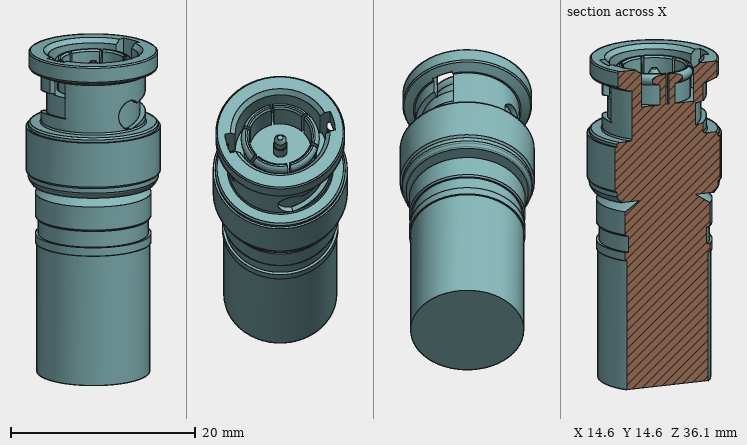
import cadquery as cq
import math

total_height = 36.1
cut_margin = 1.0

ring_bottom = 14.6
ring_top = 15.55
groove_top = 17.35
band_bottom = 17.55
band_top = 20.15
collar_bottom = 21.22
collar_edge = 21.37
collar_shoulder = 21.7
collar_lip_bottom = 21.92
collar_lip_top = 22.43
collar_body_bottom = 22.65
collar_body_top = 27.6
collar_top = 28.1
neck_top = 33.7
flange_underside = 34.18

tube_radius = 6.15
ring_radius = 6.3
groove_radius = 6.0
band_radius = 6.3
cone_top_radius = 5.1
collar_bottom_radius = 6.63
collar_edge_radius = 6.75
collar_shoulder_radius = 6.98
collar_lip_radius = 7.07
collar_radius = 7.3
neck_radius = 5.67
neck_base_radius = 5.78
flange_root_radius = 5.85
flange_radius = 7.0

band_chamfer = 0.15
collar_top_chamfer = 0.2
neck_base_height = 0.2
flange_top_chamfer = 0.15
flange_underside_chamfer = (0.12, 0.2)

bore_radius = 4.9
bore_chamfer = 0.5
bore_floor = total_height - 4.27

sleeve_top = total_height - 0.85
sleeve_inner_radius = 3.4
sleeve_outer_radius = 3.95
sleeve_bead_radius = 4.25
sleeve_mouth_chamfer = 0.2
sleeve_rim_width = 0.2
bead_height = 1.2
sleeve_slot_count = 6
sleeve_slot_width = 0.33

pin_base_radius = 0.75
pin_base_top = total_height - 2.8
pin_radius = 0.65
pin_tip_radius = 0.3
pin_tip_height = 0.55
pin_top = total_height - 1.25

track_floor_radius = 5.08
notch_width = 2.35
notch_radius = 6.0
latch_height = total_height - 6.2
latch_radius = 1.6
ramp_angle = 14.0
ramp_width = 2.37


def turned(points):
    """Revolve a closed (radius, height) outline about Z."""
    return cq.Workplane("XZ").polyline(points).close().revolve(360, (0, 0), (0, 1))


def disc(radius, bottom, top):
    return cq.Workplane("XY").workplane(offset=bottom).circle(radius).extrude(top - bottom)


def make_body():
    chamfer_width, chamfer_height = flange_underside_chamfer
    return turned([
        (0, 0),
        (tube_radius, 0),
        (tube_radius, ring_bottom),
        (ring_radius, ring_bottom),
        (ring_radius, ring_top),
        (groove_radius, ring_top),
        (groove_radius, groove_top),
        (band_radius - band_chamfer, groove_top),
        (band_radius, band_bottom),
        (band_radius, band_top),
        (cone_top_radius, collar_bottom),
        (collar_bottom_radius, collar_bottom),
        (collar_edge_radius, collar_edge),
        (collar_shoulder_radius, collar_shoulder),
        (collar_lip_radius, collar_lip_bottom),
        (collar_lip_radius, collar_lip_top),
        (collar_radius, collar_body_bottom),
        (collar_radius, collar_body_top),
        (collar_lip_radius, collar_body_top),
        (collar_lip_radius, collar_top - collar_top_chamfer),
        (collar_lip_radius - collar_top_chamfer, collar_top),
        (neck_base_radius, collar_top),
        (neck_radius, collar_top + neck_base_height),
        (neck_radius, neck_top),
        (flange_root_radius, neck_top),
        (flange_radius - chamfer_width, flange_underside),
        (flange_radius, flange_underside + chamfer_height),
        (flange_radius, total_height - flange_top_chamfer),
        (flange_radius - flange_top_chamfer, total_height),
        (0, total_height),
    ])


def make_bore():
    return turned([
        (0, bore_floor),
        (bore_radius, bore_floor),
        (bore_radius, total_height - bore_chamfer),
        (bore_radius + bore_chamfer, total_height),
        (0, total_height),
    ])


def make_sleeve():
    rim_inner = sleeve_inner_radius + sleeve_mouth_chamfer
    rim_outer = rim_inner + sleeve_rim_width
    sleeve = (
        cq.Workplane("XZ")
        .moveTo(sleeve_inner_radius, bore_floor)
        .lineTo(sleeve_outer_radius, bore_floor)
        .lineTo(sleeve_outer_radius, sleeve_top - bead_height)
        .threePointArc(
            (sleeve_bead_radius, sleeve_top - bead_height / 2),
            (rim_outer, sleeve_top),
        )
        .lineTo(rim_inner, sleeve_top)
        .lineTo(sleeve_inner_radius, sleeve_top - sleeve_mouth_chamfer)
        .close()
        .revolve(360, (0, 0), (0, 1))
    )
    slot_height = sleeve_top - bore_floor
    for index in range(sleeve_slot_count // 2):
        slot = (
            cq.Workplane("XY")
            .box(2 * bore_radius, sleeve_slot_width, slot_height, centered=(True, True, False))
            .translate((0, 0, bore_floor))
            .rotate((0, 0, 0), (0, 0, 1), index * 360 / sleeve_slot_count)
        )
        sleeve = sleeve.cut(slot)
    return sleeve


def make_pin():
    return turned([
        (0, bore_floor),
        (pin_base_radius, bore_floor),
        (pin_base_radius, pin_base_top),
        (pin_radius, pin_base_top),
        (pin_radius, pin_top - pin_tip_height),
        (pin_tip_radius, pin_top),
        (0, pin_top),
    ])


def make_bayonet_track():
    """Entry notch on -Y, inclined ramp and round latch hole on -X."""
    slope = math.tan(math.radians(ramp_angle))
    ramp_height = ramp_width / math.cos(math.radians(ramp_angle))
    ramp_low = latch_height - latch_radius / math.cos(math.radians(ramp_angle))
    outer_limit = -(neck_radius + cut_margin)
    ramp_outer_low = ramp_low - slope * outer_limit

    side_plane = cq.Workplane("YZ").workplane(offset=outer_limit)
    ramp = (
        side_plane
        .polyline([
            (0, ramp_low),
            (outer_limit, ramp_outer_low),
            (outer_limit, ramp_outer_low + ramp_height),
            (0, ramp_low + ramp_height),
        ])
        .close()
        .extrude(notch_width / 2 - outer_limit)
    )
    latch = (
        side_plane
        .center(0, latch_height)
        .circle(latch_radius)
        .extrude(-outer_limit)
    )
    track_floor = disc(track_floor_radius, 0, total_height)
    track = ramp.union(latch).cut(track_floor)

    notch = (
        cq.Workplane("XY")
        .box(notch_width, notch_radius, total_height - bore_floor, centered=(True, False, False))
        .translate((0, -notch_radius, bore_floor))
        .intersect(disc(notch_radius, bore_floor, total_height))
    )
    return track.union(notch)


body = make_body().cut(make_bore())
track = make_bayonet_track()
for turn in (0, 180):
    body = body.cut(track.rotate((0, 0, 0), (0, 0, 1), turn))

result = body.union(make_sleeve()).union(make_pin())